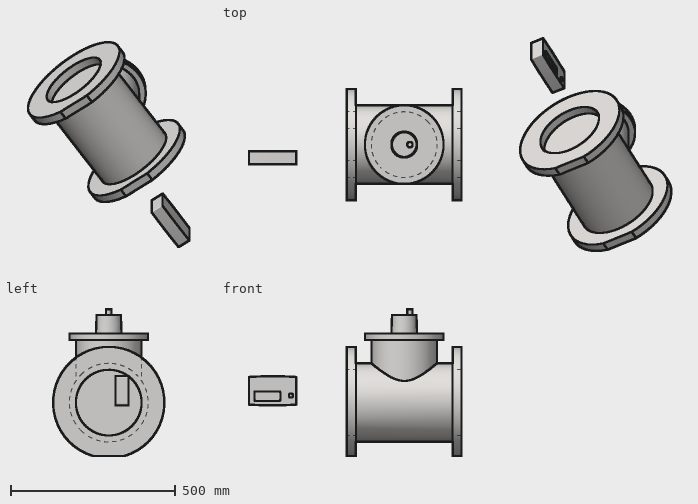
import cadquery as cq

body_length = 350.0
pipe_diameter = 240.0
end_flange_diameter = 340.0
end_flange_thickness = 28.0
end_flange_flat_depth = 163.0
port_diameter = 200.0
port_depth = end_flange_thickness

branch_diameter = port_diameter
cover_diameter = pipe_diameter
cover_thickness = 20.0
cover_top = 211.0
stem_base_diameter = 79.0
stem_top_diameter = 75.0
stem_height = 56.5
nub_diameter = 17.0
nub_height = 17.5
nub_offset = 17.5

overall_length = 648
display_width = 145.0
display_height = 90.0
display_thickness = 40.0
display_front = -60.0
display_bottom = -9.0
display_bulge = 2.5
display_edge_radius = 3.0
recess_depth = 2.0
window_width = 79.0
window_height = 29.0
window_radius = 4.0
window_inset = 17.0
window_lift = 14.0
button_diameter = 13.0
button_inset = 17.0
button_lift = 30.5

half_length = body_length / 2
display_left = half_length - overall_length
display_right = display_left + display_width


def make_x_cylinder(diameter, start, length):
    return cq.Workplane("YZ", origin=(start, 0, 0)).circle(diameter / 2).extrude(length)


def make_z_cylinder(diameter, bottom, top, x=0):
    return cq.Workplane("XY", origin=(x, 0, bottom)).circle(diameter / 2).extrude(top - bottom)


def make_end_flange(start):
    """Round flange with a flat cut along its bottom."""
    disc = make_x_cylinder(end_flange_diameter, start, end_flange_thickness)
    flat_height = end_flange_flat_depth + end_flange_diameter / 2
    keep = cq.Workplane("XY", origin=(start, 0, -end_flange_flat_depth)).box(
        end_flange_thickness, end_flange_diameter, flat_height, centered=(False, True, False)
    )
    return disc.intersect(keep)


def make_stem():
    """Tapered stem with an off-centre nub on its top face."""
    stem_top = cover_top + stem_height
    stem = (
        cq.Workplane("XY", origin=(0, 0, cover_top))
        .circle(stem_base_diameter / 2)
        .workplane(offset=stem_height)
        .circle(stem_top_diameter / 2)
        .loft()
    )
    nub = make_z_cylinder(nub_diameter, stem_top, stem_top + nub_height, nub_offset)
    return stem.union(nub)


def make_pipe_body():
    body = make_x_cylinder(pipe_diameter, -half_length, body_length)
    for start in (-half_length, half_length - end_flange_thickness):
        body = body.union(make_end_flange(start))
    body = body.union(make_z_cylinder(branch_diameter, 0, cover_top))
    body = body.union(make_z_cylinder(cover_diameter, cover_top - cover_thickness, cover_top))
    body = body.union(make_stem())

    for start in (-half_length, half_length - port_depth):
        body = body.cut(make_x_cylinder(port_diameter, start, port_depth))
    return body


def make_display_block():
    """Block with arched top and bottom and rounded edges along Y."""
    middle = (display_left + display_right) / 2
    display_top = display_bottom + display_height
    corner_bottom = display_bottom + display_bulge
    corner_top = display_top - display_bulge
    return (
        cq.Workplane("XZ", origin=(0, display_front, 0))
        .moveTo(display_left, corner_bottom)
        .threePointArc((middle, display_bottom), (display_right, corner_bottom))
        .lineTo(display_right, corner_top)
        .threePointArc((middle, display_top), (display_left, corner_top))
        .close()
        .extrude(-display_thickness)
        .edges("|Y")
        .fillet(display_edge_radius)
    )


def make_display_unit():
    front_plane = cq.Workplane("XZ", origin=(0, display_front, 0))
    window = (
        front_plane.center(
            display_left + window_inset + window_width / 2,
            display_bottom + window_lift + window_height / 2,
        )
        .rect(window_width, window_height)
        .extrude(-recess_depth)
        .edges("|Y")
        .fillet(window_radius)
    )
    button = (
        front_plane.center(display_right - button_inset, display_bottom + button_lift)
        .circle(button_diameter / 2)
        .extrude(-recess_depth)
    )
    return make_display_block().cut(window).cut(button)


pipe_body = make_pipe_body()
display_unit = make_display_unit()

result = cq.Compound.makeCompound([pipe_body.val(), display_unit.val()])